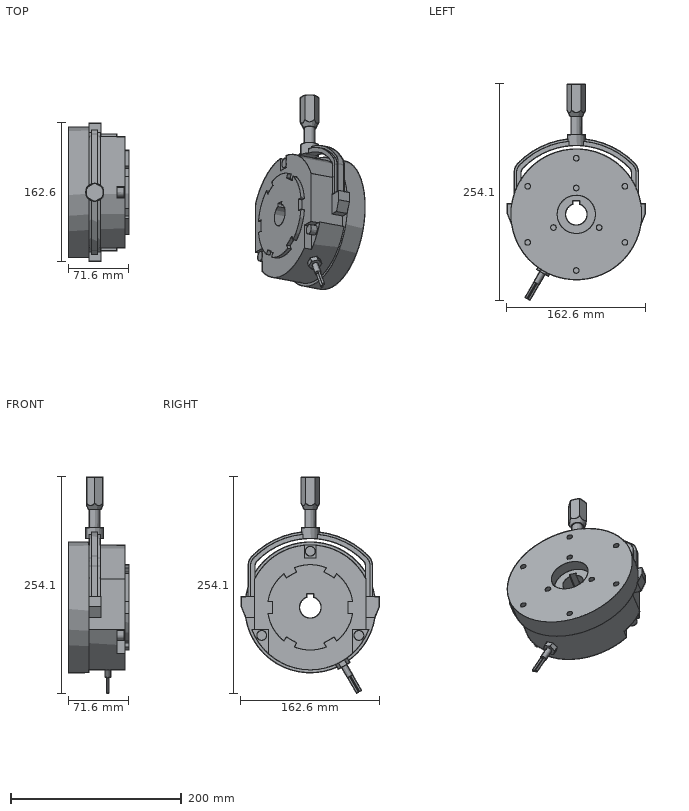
import cadquery as cq
import math


DISC_RADIUS = 77.0
DISC_THICKNESS = 24.0
RECESS_RADIUS = 22.5
RECESS_DEPTH = 13.0
SCREW_CIRCLE_RADIUS = 66.0
INNER_CIRCLE_RADIUS = 31.0
OUTER_HOLE_COUNT = 6
INNER_HOLE_COUNT = 3
HOLE_RADIUS = 3.3

BORE_RADIUS = 12.5
KEY_WIDTH = 8.0
KEY_TOP = 15.8

BODY_RADIUS = 73.5
BODY_END = 66.8
FLAT_OFFSET = 65.4
FLAT_TOP = 35.0
FLAT_BOTTOM = -26.0

POCKET_START = 57.0
POCKET_WIDTH = 13.2
POCKET_DEPTH_BELOW_SCREW = 8.0
SIDE_POCKET_OFFSET = 49.4
HEAD_COUNT = 3
HEAD_RADIUS = 5.75
HEAD_LENGTH = 8.2

RING_RADIUS = 50.2
TOTAL_LENGTH = 71.6
SLOT_COUNT = 6
SLOT_WIDTH = 14.0
SLOT_DEPTH = 6.0

LUG_LENGTH = 14.5
LUG_OUTER = 81.3
LUG_FOOT = 76.0
LUG_ROOT = 50.0
LUG_TOP = 12.6
LUG_TAPER_START = 1.0
LUG_BOTTOM = -12.0

LEVER_X = 31.0
BOW_HALF_WIDTH = 73.2
BOW_TOP = 89.2
BOW_RADIUS = 95.7
BOW_CORNER_RADIUS = 16.5
RIDGE_HEIGHT = 2.9
BOW_THICKNESS = 8.4
BAND_WIDTH = 13.2
RIDGE_WIDTH = 7.0

COLLAR_RADIUS = 10.6
COLLAR_BOTTOM = 80.7
COLLAR_TOP = 93.7
ROD_RADIUS = 6.5
GRIP_ACROSS_FLATS = 19.2
GRIP_BOTTOM = 115.0
GRIP_TOP = 153.0
GRIP_FOOT_RADIUS = 7.3
GRIP_FOOT_CONE_HEIGHT = 7.6
GRIP_TOP_RADIUS = 10.2
GRIP_TOP_CONE_HEIGHT = 0.6

TOTAL_HEIGHT = 254.09
CABLE_X = 46.4
CABLE_TILT = 30.0
NUT_CORNER_DIAMETER = 16.0
NUT_END = 79.5
SLEEVE_RADIUS = 3.6
SLEEVE_END = 93.7
WIRE_RADIUS = 1.4
WIRE_OFFSET = 2.0


def x_cylinder(radius, start, end, y=0.0, z=0.0):
    """Cylinder along X."""
    return cq.Workplane("YZ", origin=(start, y, z)).circle(radius).extrude(end - start)


def z_cylinder(radius, start, end, x=0.0, y=0.0):
    """Cylinder along Z."""
    return cq.Workplane("XY", origin=(x, y, start)).circle(radius).extrude(end - start)


def box(x_range, y_range, z_range):
    """Axis-aligned box between the given limits."""
    limits = (x_range, y_range, z_range)
    sizes = [high - low for low, high in limits]
    corner = tuple(low for low, high in limits)
    return cq.Workplane("XY").box(*sizes, centered=False).translate(corner)


def circle_points(radius, count, first_angle):
    """Evenly spaced (y, z) points around the brake axis."""
    angles = [math.radians(first_angle + i * 360.0 / count) for i in range(count)]
    return [(radius * math.cos(a), radius * math.sin(a)) for a in angles]


def make_disc():
    disc = x_cylinder(DISC_RADIUS, 0.0, DISC_THICKNESS)
    disc = disc.cut(x_cylinder(RECESS_RADIUS, 0.0, RECESS_DEPTH))
    centres = circle_points(SCREW_CIRCLE_RADIUS, OUTER_HOLE_COUNT, 90)
    centres += circle_points(INNER_CIRCLE_RADIUS, INNER_HOLE_COUNT, 90)
    holes = cq.Workplane("YZ").pushPoints(centres).circle(HOLE_RADIUS).extrude(DISC_THICKNESS)
    return disc.cut(holes)


def make_body():
    """Magnet body with side flats and screw pockets, and the heads of its three screws."""
    body = x_cylinder(BODY_RADIUS, DISC_THICKNESS, BODY_END)
    body_x = (DISC_THICKNESS, BODY_END)
    pocket_x = (POCKET_START, BODY_END)
    for side in (-1, 1):
        flat_y = sorted((side * FLAT_OFFSET, side * BODY_RADIUS))
        pocket_y = sorted((side * SIDE_POCKET_OFFSET, side * BODY_RADIUS))
        body = body.cut(box(body_x, flat_y, (FLAT_BOTTOM, FLAT_TOP)))
        body = body.cut(box(pocket_x, pocket_y, (-BODY_RADIUS, FLAT_BOTTOM)))
    top_pocket_y = (-POCKET_WIDTH / 2, POCKET_WIDTH / 2)
    top_pocket_z = (SCREW_CIRCLE_RADIUS - POCKET_DEPTH_BELOW_SCREW, BODY_RADIUS)
    body = body.cut(box(pocket_x, top_pocket_y, top_pocket_z))
    for y, z in circle_points(SCREW_CIRCLE_RADIUS, HEAD_COUNT, 90):
        body = body.union(x_cylinder(HEAD_RADIUS, POCKET_START, POCKET_START + HEAD_LENGTH, y, z))
    return body


def make_adjusting_ring():
    ring = x_cylinder(RING_RADIUS, BODY_END, TOTAL_LENGTH)
    slot = box(
        (BODY_END, TOTAL_LENGTH),
        (RING_RADIUS - SLOT_DEPTH, RING_RADIUS),
        (-SLOT_WIDTH / 2, SLOT_WIDTH / 2),
    )
    for i in range(SLOT_COUNT):
        ring = ring.cut(slot.rotate((0, 0, 0), (1, 0, 0), i * 360.0 / SLOT_COUNT))
    return ring


def make_bore():
    bore = x_cylinder(BORE_RADIUS, 0.0, TOTAL_LENGTH)
    return bore.union(box((0.0, TOTAL_LENGTH), (-KEY_WIDTH / 2, KEY_WIDTH / 2), (0.0, KEY_TOP)))


def make_lug():
    """Lug on the +Y side, tapering towards its foot."""
    outline = [
        (LUG_ROOT, LUG_TOP),
        (LUG_OUTER, LUG_TOP),
        (LUG_OUTER, LUG_TAPER_START),
        (LUG_FOOT, LUG_BOTTOM),
        (LUG_ROOT, LUG_BOTTOM),
    ]
    return cq.Workplane("YZ", origin=(DISC_THICKNESS, 0, 0)).polyline(outline).close().extrude(LUG_LENGTH)


def bow_area(inset, width):
    """Plate filling the bow outline, moved inwards by inset and centred on the lever."""
    half_width = BOW_HALF_WIDTH - inset
    radius = BOW_RADIUS - inset
    corner_radius = BOW_CORNER_RADIUS - inset
    arc_centre_z = BOW_TOP - BOW_RADIUS
    corner_y = BOW_HALF_WIDTH - BOW_CORNER_RADIUS
    corner_rise = math.sqrt((BOW_RADIUS - BOW_CORNER_RADIUS) ** 2 - corner_y**2)
    corner_z = arc_centre_z + corner_rise
    tangent_angle = math.atan2(corner_rise, corner_y)

    def corner_point(angle):
        return corner_y + corner_radius * math.cos(angle), corner_z + corner_radius * math.sin(angle)

    join_y, join_z = corner_point(tangent_angle)
    middle_y, middle_z = corner_point(tangent_angle / 2)
    return (
        cq.Workplane("YZ", origin=(LEVER_X - width / 2, 0, 0))
        .moveTo(half_width, LUG_TOP)
        .lineTo(half_width, corner_z)
        .threePointArc((middle_y, middle_z), (join_y, join_z))
        .threePointArc((0, arc_centre_z + radius), (-join_y, join_z))
        .threePointArc((-middle_y, middle_z), (-half_width, corner_z))
        .lineTo(-half_width, LUG_TOP)
        .close()
        .extrude(width)
    )


def make_bow():
    bow = bow_area(0.0, RIDGE_WIDTH).union(bow_area(RIDGE_HEIGHT, BAND_WIDTH))
    return bow.cut(bow_area(BOW_THICKNESS, BAND_WIDTH))


def make_grip():
    """Hexagonal grip with corners along Y, turned down to a cone at each end."""
    corner_radius = GRIP_ACROSS_FLATS / math.sqrt(3)
    hexagon = (
        cq.Workplane("XY", origin=(LEVER_X, 0, GRIP_BOTTOM))
        .polygon(6, 2 * corner_radius)
        .extrude(GRIP_TOP - GRIP_BOTTOM)
        .rotate((LEVER_X, 0, 0), (LEVER_X, 0, 1), 90)
    )
    envelope = (
        cq.Workplane("XZ", origin=(LEVER_X, 0, 0))
        .moveTo(0, GRIP_BOTTOM)
        .lineTo(GRIP_FOOT_RADIUS, GRIP_BOTTOM)
        .lineTo(corner_radius, GRIP_BOTTOM + GRIP_FOOT_CONE_HEIGHT)
        .lineTo(corner_radius, GRIP_TOP - GRIP_TOP_CONE_HEIGHT)
        .lineTo(GRIP_TOP_RADIUS, GRIP_TOP)
        .lineTo(0, GRIP_TOP)
        .close()
        .revolve(360, (0, 0, 0), (0, 1, 0))
    )
    return hexagon.intersect(envelope)


def make_lever():
    lever = make_bow().union(z_cylinder(COLLAR_RADIUS, COLLAR_BOTTOM, COLLAR_TOP, LEVER_X))
    return lever.union(z_cylinder(ROD_RADIUS, COLLAR_TOP, GRIP_BOTTOM, LEVER_X)).union(make_grip())


def make_cable():
    """Gland nut, sleeve and two wires, built pointing to -Z and then tilted towards +Y."""
    tilt = math.radians(CABLE_TILT)
    wire_reach = WIRE_OFFSET + WIRE_RADIUS
    lowest = TOTAL_HEIGHT - GRIP_TOP
    wire_end = (lowest - wire_reach * math.sin(tilt)) / math.cos(tilt)
    nut_start = BODY_RADIUS - NUT_CORNER_DIAMETER / 2
    cable = (
        cq.Workplane("XY", origin=(CABLE_X, 0, -NUT_END))
        .polygon(6, NUT_CORNER_DIAMETER)
        .extrude(NUT_END - nut_start)
        .rotate((CABLE_X, 0, 0), (CABLE_X, 0, 1), 90)
    )
    cable = cable.union(z_cylinder(SLEEVE_RADIUS, -SLEEVE_END, -NUT_END, CABLE_X))
    for side in (-1, 1):
        cable = cable.union(z_cylinder(WIRE_RADIUS, -wire_end, -SLEEVE_END, CABLE_X, side * WIRE_OFFSET))
    return cable.rotate((0, 0, 0), (1, 0, 0), CABLE_TILT)


lug = make_lug()
result = make_disc().union(make_body()).union(make_adjusting_ring()).cut(make_bore())
result = result.union(lug).union(lug.mirror("XZ")).union(make_lever()).union(make_cable())